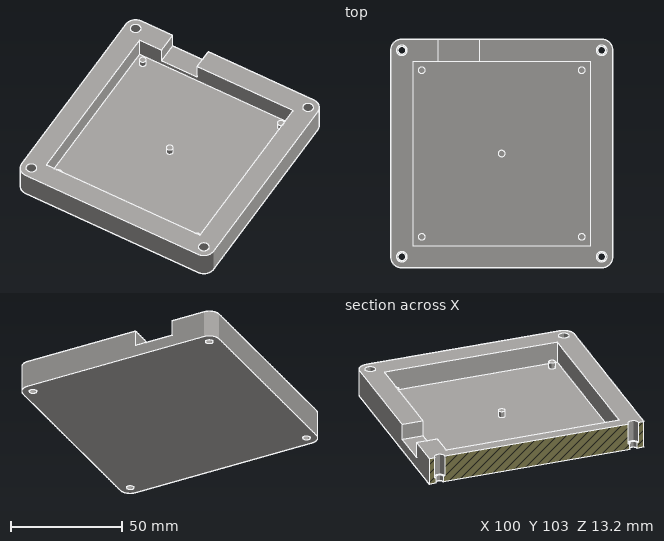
import cadquery as cq

width = 100.0
length = 103.0
height = 13.2
corner_radius = 5.0

wall = 10.0
cavity_depth = 10.2
floor_thickness = height - cavity_depth
cavity_width = width - 2 * wall
cavity_length = length - 2 * wall

screw_diameter = 3.4
head_diameter = 4.7
head_depth = 10.2

pin_diameter = 3.0
pin_height = 3.0
pin_inset = 4.0

notch_left = 21.4
notch_width = 18.5
notch_depth = 7.6


def corner_points(x_span, y_span):
    """Four corners of a centred rectangle."""
    return [(x * x_span / 2, y * y_span / 2) for x in (-1, 1) for y in (-1, 1)]


def make_body():
    block = cq.Workplane("XY").box(width, length, height, centered=(True, True, False))
    return block.edges("|Z").fillet(corner_radius)


def make_cavity():
    floor = cq.Workplane("XY").workplane(offset=floor_thickness)
    return floor.rect(cavity_width, cavity_length).extrude(cavity_depth)


def make_notch():
    notch = cq.Workplane("XY").box(notch_width, wall, notch_depth, centered=False)
    return notch.translate((notch_left - width / 2, cavity_length / 2, height - notch_depth))


def make_pins():
    centers = corner_points(cavity_width - 2 * pin_inset, cavity_length - 2 * pin_inset)
    centers.append((0, 0))
    pins = cq.Workplane("XY").pushPoints(centers).circle(pin_diameter / 2)
    return pins.extrude(floor_thickness + pin_height)


tray = make_body().cut(make_cavity()).cut(make_notch()).union(make_pins())

screw_centers = corner_points(width - 2 * corner_radius, length - 2 * corner_radius)
result = (
    tray.faces(">Z").workplane(origin=(0, 0, height))
    .pushPoints(screw_centers)
    .cboreHole(screw_diameter, head_diameter, head_depth)
)